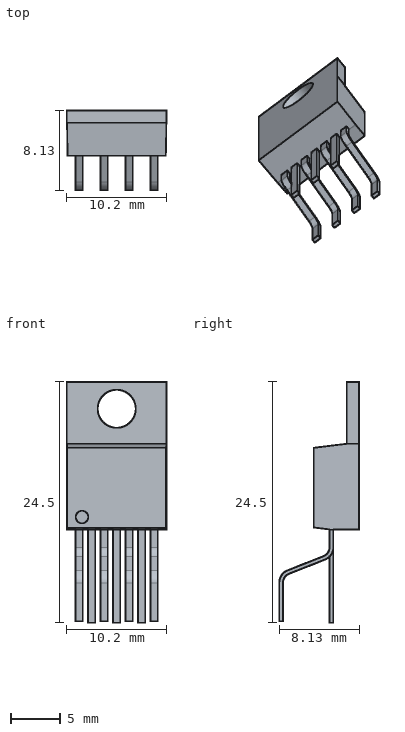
import cadquery as cq
import math


tab_width = 10.16
tab_thickness = 1.27
package_height = 15.0
hole_diameter = 3.84
hole_to_tab_top = 2.74

housing_depth = 4.63
housing_height = 8.72
face_draft = math.radians(7)
side_draft = math.radians(1)

lead_count = 7
lead_pitch = 1.27
lead_width = 0.76
lead_thickness = 0.40
overall_depth = 8.13
lead_offset = 5.10
straight_lead_length = 9.48
formed_lead_length = 9.33
lead_slope = math.radians(21.5)
bend_radius = 1.17
first_bend_drop = 1.80

lead_y = -(overall_depth - lead_thickness / 2 - lead_offset)

mark_diameter = 1.27
mark_depth = 0.10
mark_x = -3.52
mark_z = 1.27


def make_housing():
    """Drafted housing carrying the drilled tab, with a recess for the pin-one mark."""
    tab = cq.Workplane("XY").box(
        tab_width, tab_thickness, package_height - housing_height, centered=(True, False, False)
    ).translate((0, -tab_thickness, housing_height))
    hole = (
        cq.Workplane("XZ")
        .center(0, package_height - hole_to_tab_top)
        .circle(hole_diameter / 2)
        .extrude(tab_thickness)
    )

    underside_break_y = lead_y - lead_thickness / 2
    top_drop = (housing_depth - tab_thickness) * math.tan(face_draft)
    underside_rise = (housing_depth + underside_break_y) * math.tan(face_draft)
    side_profile = (
        cq.Workplane("YZ")
        .moveTo(0, 0)
        .lineTo(0, housing_height)
        .lineTo(-tab_thickness, housing_height)
        .lineTo(-housing_depth, housing_height - top_drop)
        .lineTo(-housing_depth, underside_rise)
        .lineTo(underside_break_y, 0)
        .close()
        .extrude(tab_width / 2, both=True)
    )

    back_half_width = tab_width / 2
    front_half_width = back_half_width - housing_depth * math.tan(side_draft)
    plan = (
        cq.Workplane("XY")
        .moveTo(-back_half_width, 0)
        .lineTo(back_half_width, 0)
        .lineTo(front_half_width, -housing_depth)
        .lineTo(-front_half_width, -housing_depth)
        .close()
        .extrude(housing_height)
    )

    return side_profile.intersect(plan).union(tab).cut(hole).cut(make_pin_one_mark())


def make_pin_one_mark():
    """Thin disc set flush into the front face of the housing."""
    return (
        cq.Workplane("XZ", origin=(mark_x, -housing_depth, mark_z))
        .circle(mark_diameter / 2)
        .extrude(-mark_depth)
    )


def make_straight_lead(x):
    """Flat lead running straight down from the housing."""
    return (
        cq.Workplane("XY", origin=(x, lead_y, 0))
        .rect(lead_width, lead_thickness)
        .extrude(-straight_lead_length)
    )


def make_formed_lead(x):
    """Flat lead bent forward along a sloping run, then straight down again."""
    bend_forward = bend_radius * (1 - math.sin(lead_slope))
    bend_drop = bend_radius * math.cos(lead_slope)
    run_forward = lead_offset - 2 * bend_forward
    run_drop = run_forward * math.tan(lead_slope)

    first_bend_end = (lead_y - bend_forward, -first_bend_drop - bend_drop)
    second_bend_start = (first_bend_end[0] - run_forward, first_bend_end[1] - run_drop)
    tip_y = lead_y - lead_offset
    second_bend_end = (tip_y, second_bend_start[1] - bend_drop)

    path = (
        cq.Workplane("YZ", origin=(x, 0, 0))
        .moveTo(lead_y, 0)
        .lineTo(lead_y, -first_bend_drop)
        .tangentArcPoint(first_bend_end, relative=False)
        .lineTo(*second_bend_start)
        .tangentArcPoint(second_bend_end, relative=False)
        .lineTo(tip_y, -formed_lead_length)
    )
    section = cq.Workplane("XY", origin=(x, lead_y, 0)).rect(lead_width, lead_thickness)
    return section.sweep(path)


housing = make_housing()
pin_one_mark = make_pin_one_mark()

leads = []
for index in range(lead_count):
    lead_x = (index - (lead_count - 1) / 2) * lead_pitch
    make_lead = make_formed_lead if index % 2 == 0 else make_straight_lead
    leads.append(make_lead(lead_x).val())

result = cq.Compound.makeCompound([housing.val(), pin_one_mark.val(), *leads])